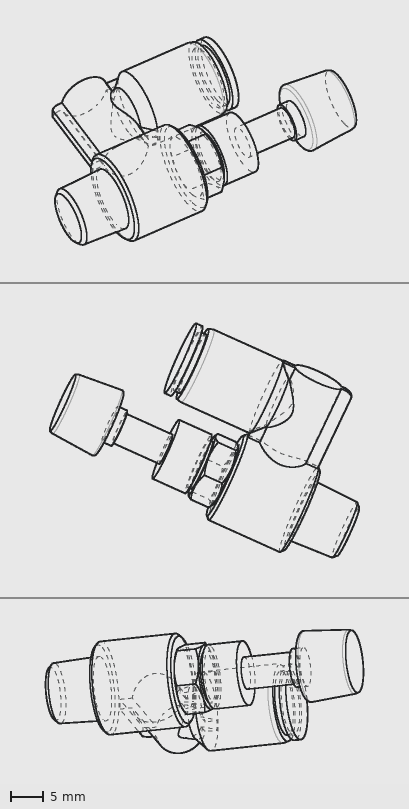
import cadquery as cq
import math


thread_end_y = 7.9
thread_root_radius = 5.0
thread_tip_radius = 4.7
thread_face_radius = 4.1
thread_chamfer = 0.65

body_radius = 7.25
body_top_y = 20.95
body_chamfer = 0.5

hex_flats = 10.0
hex_top_y = 24.9
hex_chamfer_angle = 30
groove_radius = 8.0 / 2
collar_start_y = 25.45
collar_radius = 10.0 / 2
collar_end_y = 31.0
stem_radius = 5.0 / 2
neck_start_y = 38.9
neck_radius = 6.0 / 2

knob_start_y = 40.55
knob_end_y = 48.5
knob_wide_radius = 5.6
knob_narrow_radius = 5.0
knob_base_fillet = 0.45
knob_edge_height = 0.5
knob_edge_inset = 0.15

arm_end_x = -20.25
arm_center_y = 14.45
arm_radius = 8.0 / 2
web_half_width = 5.9
web_thickness = 1.6
web_corner_x = 0.6
web_corner_y = 1.45

port_x = -14.0
port_base_radius = 3.3
port_cone_y = 18.58
port_cone_radius = 4.2
sleeve_start_y = 20.45
sleeve_radius = 12.3 / 2
sleeve_chamfer_y = 32.15
sleeve_end_y = 32.95
sleeve_end_radius = 5.95
port_groove_radius = 10.0 / 2
flange_start_y = 33.95
flange_radius = 11.85 / 2
flange_end_y = 35.0


def turned(profile, axis_x=0):
    """Revolve (radius, y) points about an axis parallel to Y."""
    start_y = profile[0][1]
    end_y = profile[-1][1]
    outline = [(0, start_y)] + profile + [(0, end_y)]
    solid = cq.Workplane("XY").polyline(outline).close().revolve(360, (0, 0, 0), (0, 1, 0))
    return solid.translate((axis_x, 0, 0))


def cylinder(radius, start_y, end_y):
    return turned([(radius, start_y), (radius, end_y)])


def make_thread():
    return turned([
        (thread_face_radius, 0),
        (thread_tip_radius, thread_chamfer),
        (thread_root_radius, thread_end_y),
    ])


def make_body():
    body = cylinder(body_radius, thread_end_y, body_top_y)
    return body.faces("<Y or >Y").chamfer(body_chamfer)


def make_hexagon():
    """Hexagon with flats facing +X and -X, corners trimmed by a cone at each end."""
    corner_radius = hex_flats / math.sqrt(3)
    flat_radius = hex_flats / 2
    corner_drop = (corner_radius - flat_radius) * math.tan(math.radians(hex_chamfer_angle))
    corners = [
        (corner_radius * math.sin(math.radians(60 * i)), corner_radius * math.cos(math.radians(60 * i)))
        for i in range(6)
    ]
    prism = (
        cq.Workplane("XZ", origin=(0, hex_top_y, 0))
        .polyline(corners).close()
        .extrude(hex_top_y - body_top_y)
    )
    envelope = turned([
        (flat_radius, body_top_y),
        (corner_radius, body_top_y + corner_drop),
        (corner_radius, hex_top_y - corner_drop),
        (flat_radius, hex_top_y),
    ])
    return prism.intersect(envelope)


def make_stem():
    groove = cylinder(groove_radius, hex_top_y, collar_start_y)
    collar = cylinder(collar_radius, collar_start_y, collar_end_y)
    stem = cylinder(stem_radius, collar_end_y, neck_start_y)
    neck = cylinder(neck_radius, neck_start_y, knob_start_y)
    return groove.union(collar).union(stem).union(neck)


def make_knob():
    knob = turned([
        (knob_wide_radius, knob_start_y),
        (knob_narrow_radius, knob_end_y - knob_edge_height),
        (knob_narrow_radius - knob_edge_inset, knob_end_y),
    ])
    return knob.faces("<Y").edges().fillet(knob_base_fillet)


def make_arm():
    arm = (
        cq.Workplane("YZ", origin=(arm_end_x, 0, 0))
        .center(arm_center_y, 0)
        .circle(arm_radius)
        .extrude(-arm_end_x)
    )
    web_low_y = arm_center_y - web_half_width
    web_high_y = arm_center_y + web_half_width
    corner_radius = (web_corner_x ** 2 + web_corner_y ** 2) / (2 * web_corner_x)
    half_sweep = math.asin(web_corner_y / corner_radius) / 2
    corner_middle = (
        arm_end_x + corner_radius * (1 - math.cos(half_sweep)),
        web_low_y + web_corner_y - corner_radius * math.sin(half_sweep),
    )
    web = (
        cq.Workplane("XY")
        .moveTo(0, web_high_y)
        .lineTo(arm_end_x, web_high_y)
        .lineTo(arm_end_x, web_low_y + web_corner_y)
        .threePointArc(corner_middle, (arm_end_x + web_corner_x, web_low_y))
        .lineTo(0, web_low_y)
        .close()
        .extrude(web_thickness / 2, both=True)
    )
    return arm.union(web)


def make_port():
    return turned([
        (port_base_radius, arm_center_y),
        (port_cone_radius, port_cone_y),
        (sleeve_radius, sleeve_start_y),
        (sleeve_radius, sleeve_chamfer_y),
        (sleeve_end_radius, sleeve_end_y),
        (port_groove_radius, sleeve_end_y),
        (port_groove_radius, flange_start_y),
        (flange_radius, flange_start_y),
        (flange_radius, flange_end_y),
    ], port_x)


result = make_body()
for feature in (make_thread(), make_hexagon(), make_stem(), make_knob(), make_arm(), make_port()):
    result = result.union(feature)